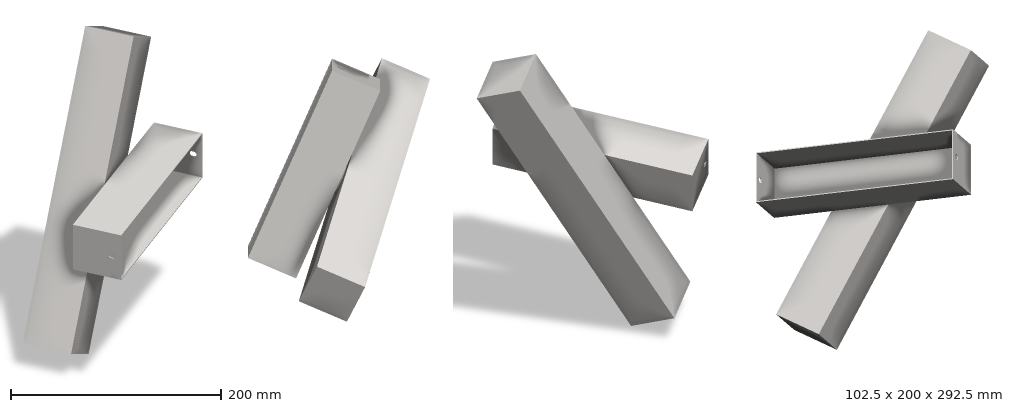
import cadquery as cq
import math

total_width = 102.5
bar_side = 50.0
gap = total_width - 2 * bar_side

total_height = 292.5
tilt = 30.0
tilt_radians = math.radians(tilt)
tilted_length = (total_height - bar_side * math.sin(tilt_radians)) / math.cos(tilt_radians)

housing_length = 200.0
wall = 1.0
spacer_diameter = 30.0
slot_length = 7.3
slot_height = 5.5
slot_edge_distance = 9.5

housing_inner_x = gap / 2
housing_outer_x = housing_inner_x + bar_side
tilted_bar_x = -(gap + bar_side) / 2


def make_tilted_bar():
    """Solid square bar, leaning in the YZ plane."""
    return (
        cq.Workplane("XY")
        .box(bar_side, bar_side, tilted_length)
        .rotate((0, 0, 0), (1, 0, 0), -tilt)
        .translate((tilted_bar_x, 0, 0))
    )


def make_housing():
    """Open box with a matching slot through both end walls and a round spacer towards the tilted bar."""
    housing = (
        cq.Workplane("YZ", origin=(housing_inner_x, 0, 0))
        .rect(housing_length, bar_side)
        .extrude(bar_side)
        .faces(">X")
        .shell(-wall)
    )
    slots = (
        cq.Workplane("XZ", origin=(housing_outer_x - slot_edge_distance, 0, 0))
        .slot2D(slot_length, slot_height)
        .extrude(housing_length, both=True)
    )
    spacer = cq.Workplane("YZ", origin=(-gap / 2, 0, 0)).circle(spacer_diameter / 2).extrude(gap)
    return housing.cut(slots).union(spacer)


tilted_bar = make_tilted_bar()
housing = make_housing()

result = cq.Compound.makeCompound([tilted_bar.val(), housing.val()])